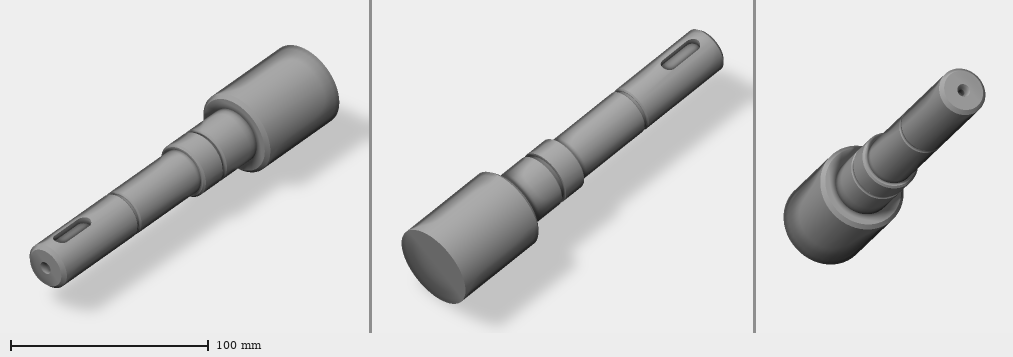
import cadquery as cq
import math

length = 200.0
head_radius = 22.5
head_length = 55.0
collar_radius = 15.0
journal_radius = 12.5
journal_length = 105.0

main_chamfer = 2.0
collar_chamfer = 1.0

collar_groove_start = 119.0
collar_groove_width = 2.2
collar_groove_radius = 13.2
journal_groove_start = 57.0
journal_groove_width = 1.5
journal_groove_radius = 11.5
journal_groove_chamfer = 0.8

keyway_width = 8.0
keyway_length = 25.2
keyway_depth = 4.0
keyway_tip_gap = 7.8

centre_mouth_radius = 3.5
pilot_radius = 1.5
centre_depth = 7.2
countersink_half_angle = 30.0
drill_half_angle = 59.0

tip_y = -length / 2
head_y = length / 2 - head_length
shoulder_y = tip_y + journal_length


def revolve_profile(points):
    """Revolve a closed (radius, y) outline about the Y axis."""
    return cq.Workplane("XY").polyline(points).close().revolve(360, (0, 0, 0), (0, 1, 0))


def make_body():
    return revolve_profile([
        (0, tip_y),
        (journal_radius - main_chamfer, tip_y),
        (journal_radius, tip_y + main_chamfer),
        (journal_radius, shoulder_y),
        (collar_radius - collar_chamfer, shoulder_y),
        (collar_radius, shoulder_y + collar_chamfer),
        (collar_radius, head_y),
        (head_radius - main_chamfer, head_y),
        (head_radius, head_y + main_chamfer),
        (head_radius, length / 2),
        (0, length / 2),
    ])


def make_groove(start, width, floor_radius, outer_radius, near_chamfer, far_chamfer):
    """Ring cutter with a chamfered mouth on its two walls; 0 leaves a wall sharp."""
    near_y = tip_y + start
    far_y = near_y + width
    points = [(floor_radius, near_y)]
    if near_chamfer:
        points.append((outer_radius - near_chamfer, near_y))
    points.append((outer_radius, near_y - near_chamfer))
    points.append((outer_radius + width, (near_y + far_y) / 2))
    points.append((outer_radius, far_y + far_chamfer))
    if far_chamfer:
        points.append((outer_radius - far_chamfer, far_y))
    points.append((floor_radius, far_y))
    return revolve_profile(points)


def make_keyway():
    centre_y = tip_y + keyway_tip_gap + keyway_length / 2
    floor_z = journal_radius - keyway_depth
    return (
        cq.Workplane("XY", origin=(0, centre_y, floor_z))
        .slot2D(keyway_length, keyway_width, 90)
        .extrude(2 * keyway_depth)
    )


def make_centre_hole():
    countersink_depth = (centre_mouth_radius - pilot_radius) / math.tan(math.radians(countersink_half_angle))
    point_length = pilot_radius / math.tan(math.radians(drill_half_angle))
    return revolve_profile([
        (0, tip_y),
        (centre_mouth_radius, tip_y),
        (pilot_radius, tip_y + countersink_depth),
        (pilot_radius, tip_y + centre_depth),
        (0, tip_y + centre_depth + point_length),
    ])


collar_groove = make_groove(
    collar_groove_start, collar_groove_width, collar_groove_radius, collar_radius, 0, collar_chamfer
)
journal_groove = make_groove(
    journal_groove_start, journal_groove_width, journal_groove_radius, journal_radius,
    journal_groove_chamfer, journal_groove_chamfer,
)

result = (
    make_body()
    .cut(collar_groove)
    .cut(journal_groove)
    .cut(make_keyway())
    .cut(make_centre_hole())
)